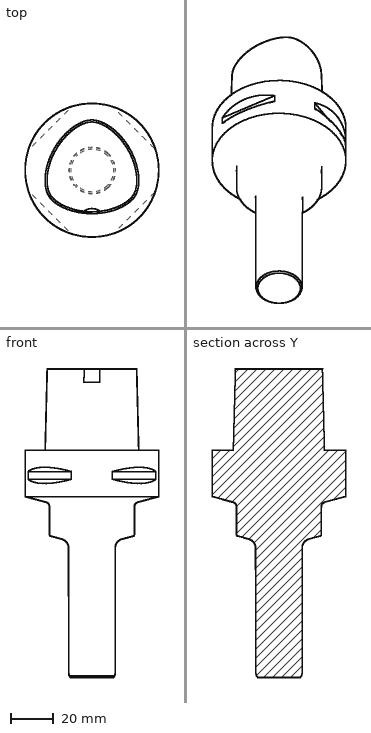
import cadquery as cq
import math

TOTAL_LENGTH = 145
POLYGON_LENGTH = 38.1
FLANGE_HEIGHT = 21.9
FLANGE_BOTTOM_Z = TOTAL_LENGTH - POLYGON_LENGTH - FLANGE_HEIGHT
FLANGE_TOP_Z = TOTAL_LENGTH - POLYGON_LENGTH
COLLAR_BOTTOM_Z = 66.5

FLANGE_RADIUS = 63.0 / 2
COLLAR_RADIUS = 40.0 / 2
SHANK_RADIUS = 22.0 / 2
SHOULDER_SLOPE = math.tan(math.radians(15))
COLLAR_FILLET = 2.0
SHANK_FILLET = 4.0
COLLAR_EDGE_ROUND = 1.0
END_TAPER_Z = 2.0
END_TAPER_WIDTH = 0.3
END_CHAMFER = 0.7

POLYGON_MEAN_RADIUS = 44.1 / 2
POLYGON_ECCENTRICITY = 1.6
POLYGON_TAPER = 1 / 20
POLYGON_CURVE_STEPS = 12
LOBE_COUNT = 3
LOBE_SPACING = 360 / LOBE_COUNT
SIDE_HALF_ANGLE = 22

NOTCH_HEIGHT = 6.2
NOTCH_RADIUS = 5.7
NOTCH_FLOOR_Y = -18.0

GROOVE_COUNT = 4
GROOVE_FIRST_ANGLE = 45
GROOVE_Z = 95.0
GROOVE_FLOOR_RADIUS = 28.0
GROOVE_FLOOR_WIDTH = 3.6
GROOVE_WALL_ANGLE = 30
GROOVE_CLEARANCE = 1.5


def make_body():
    """Flange, collar and straight shank as one turned solid."""
    collar_top_z = FLANGE_BOTTOM_Z - (FLANGE_RADIUS - COLLAR_RADIUS) * SHOULDER_SLOPE
    shank_top_z = COLLAR_BOTTOM_Z - (COLLAR_RADIUS - SHANK_RADIUS) * SHOULDER_SLOPE
    end_radius = SHANK_RADIUS - END_TAPER_WIDTH
    profile = [
        (0, 0),
        (end_radius - END_CHAMFER, 0),
        (end_radius, END_CHAMFER),
        (SHANK_RADIUS, END_TAPER_Z),
        (SHANK_RADIUS, shank_top_z),
        (COLLAR_RADIUS, COLLAR_BOTTOM_Z),
        (COLLAR_RADIUS, collar_top_z),
        (FLANGE_RADIUS, FLANGE_BOTTOM_Z),
        (FLANGE_RADIUS, FLANGE_TOP_Z),
        (0, FLANGE_TOP_Z),
    ]
    body = cq.Workplane("XZ").polyline(profile).close().revolve(360, (0, 0), (0, 1))
    body = fillet_circle_at(body, collar_top_z, COLLAR_FILLET)
    body = fillet_circle_at(body, COLLAR_BOTTOM_Z, COLLAR_EDGE_ROUND)
    return fillet_circle_at(body, shank_top_z, SHANK_FILLET)


def fillet_circle_at(body, z, radius):
    """Round the circular edge that lies at height z."""
    reach = FLANGE_RADIUS + 1.5
    band = 0.01
    selector = cq.selectors.BoxSelector((-reach, -reach, z - band), (reach, reach, z + band))
    return body.edges("%CIRCLE").edges(selector).fillet(radius)


def polygon_point(degrees, mean_radius, z):
    """Point on the trilobe outline, measured from -Y, with one lobe pointing along +Y."""
    angle = math.radians(degrees)
    e = POLYGON_ECCENTRICITY
    x = mean_radius * math.sin(angle) + 2 * e * math.sin(2 * angle) + e * math.sin(4 * angle)
    y = -mean_radius * math.cos(angle) + 2 * e * math.cos(2 * angle) - e * math.cos(4 * angle)
    return cq.Vector(x, y, z)


def polygon_edge(start, end, mean_radius, z):
    """Smooth curve along the trilobe outline between two angles."""
    step = (end - start) / POLYGON_CURVE_STEPS
    points = [polygon_point(start + k * step, mean_radius, z) for k in range(POLYGON_CURVE_STEPS + 1)]
    return cq.Edge.makeSpline(points)


def polygon_wire(mean_radius, z):
    """Closed trilobe outline of three flatter sides and three lobes."""
    edges = []
    for side in range(LOBE_COUNT):
        middle = side * LOBE_SPACING
        lobe_start = middle + SIDE_HALF_ANGLE
        next_side = middle + LOBE_SPACING - SIDE_HALF_ANGLE
        edges.append(polygon_edge(middle - SIDE_HALF_ANGLE, lobe_start, mean_radius, z))
        edges.append(polygon_edge(lobe_start, next_side, mean_radius, z))
    return cq.Wire.assembleEdges(edges)


def make_polygon():
    """Tapered polygon shank standing on the flange."""
    top_radius = POLYGON_MEAN_RADIUS - POLYGON_TAPER / 2 * POLYGON_LENGTH
    bottom_wire = polygon_wire(POLYGON_MEAN_RADIUS, FLANGE_TOP_Z)
    top_wire = polygon_wire(top_radius, TOTAL_LENGTH)
    return cq.Workplane(cq.Solid.makeLoft([bottom_wire, top_wire], True))


def make_notch():
    """Round-backed notch in the -Y side, open at the top."""
    return (
        cq.Workplane("XY", origin=(0, NOTCH_FLOOR_Y - NOTCH_RADIUS, TOTAL_LENGTH - NOTCH_HEIGHT))
        .circle(NOTCH_RADIUS)
        .extrude(NOTCH_HEIGHT)
    )


def make_groove(angle):
    """Straight trapezoidal groove cut across the flange rim."""
    outer = FLANGE_RADIUS + GROOVE_CLEARANCE
    rise = (outer - GROOVE_FLOOR_RADIUS) * math.tan(math.radians(GROOVE_WALL_ANGLE))
    half_floor = GROOVE_FLOOR_WIDTH / 2
    section = [
        (GROOVE_FLOOR_RADIUS, GROOVE_Z - half_floor),
        (outer, GROOVE_Z - half_floor - rise),
        (outer, GROOVE_Z + half_floor + rise),
        (GROOVE_FLOOR_RADIUS, GROOVE_Z + half_floor),
    ]
    groove = cq.Workplane("XZ").polyline(section).close().extrude(FLANGE_RADIUS, both=True)
    return groove.rotate((0, 0, 0), (0, 0, 1), angle)


result = make_body().union(make_polygon()).cut(make_notch())
for index in range(GROOVE_COUNT):
    result = result.cut(make_groove(GROOVE_FIRST_ANGLE + index * 360 / GROOVE_COUNT))